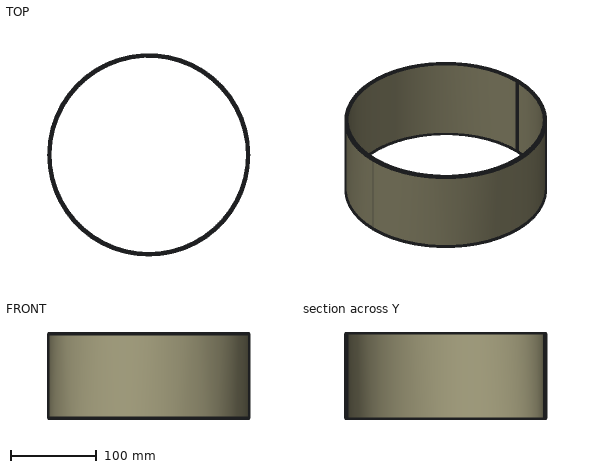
import cadquery as cq

outer_diameter = 235.0
height = 100.0
wall = 2.5
outer_bevel_width = 0.7
outer_bevel_height = 1.6
inner_bevel = 0.5
slit_width = 2.0

outer_radius = outer_diameter / 2
inner_radius = outer_radius - wall
rim_outer_radius = outer_radius - outer_bevel_width
rim_inner_radius = inner_radius + inner_bevel

wall_section = [
    (rim_inner_radius, 0),
    (rim_outer_radius, 0),
    (outer_radius, outer_bevel_height),
    (outer_radius, height - outer_bevel_height),
    (rim_outer_radius, height),
    (rim_inner_radius, height),
    (inner_radius, height - inner_bevel),
    (inner_radius, inner_bevel),
]
ring = cq.Workplane("XZ").polyline(wall_section).close().revolve(360, (0, 0, 0), (0, 1, 0))

slit = cq.Workplane("XY").box(outer_diameter, slit_width, height, centered=(True, False, False))
slit = slit.translate((-outer_radius, 0, 0))

result = ring.cut(slit)